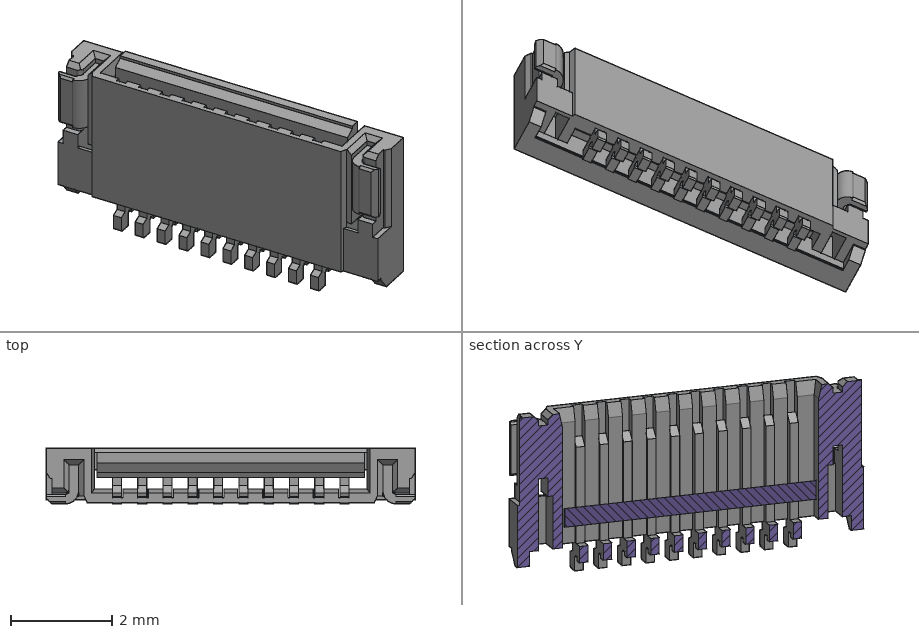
import cadquery as cq
import math


HALF_LENGTH = 3.65
HOUSING_BOTTOM = 0.29
HOUSING_TOP = 3.4
SLIDER_TOP = 3.51
MOUNT_Y = -1.1

BLOCK_FRONT_Y = -1.02
PANEL_FRONT_Y = -1.08
PANEL_BOTTOM = 0.6
PANEL_HALF_WIDTH = 2.84
PANEL_SIDE_DRAFT = 0.06
UNDERCUT_HALF_LENGTH = 3.39
BASE_FRONT_Y = -0.43
BASE_LIP_Y = -0.41
BASE_LIP_TOP = 0.335
CORNER_FRONT_Y = -0.89
CORNER_CHAMFER_Y = 0.21
CORNER_CHAMFER_Z = 0.26

CAVITY_HALF_WIDTH = 2.695
CAVITY_FRONT_Y = -0.8
BACK_WALL = 0.09
SEAT_Z = 1.02
MOUTH_SIDE_FLARE = 0.065
MOUTH_FRONT_FLARE = 0.09
MOUTH_DEPTH = 0.285
BACK_BEVEL_DROP = 0.14

SLOT_INNER_X = -3.01
CLIP_THICKNESS = 0.19
SLOT_OUTER_X = SLOT_INNER_X - CLIP_THICKNESS
SLOT_BACK_Y = -0.33
WINDOW_BOTTOM = 1.7
SLOT_CHAMFER = 0.1
FLARE_CUT_LENGTH = 1.46
WINDOW_TOP = 2.05
RECESS_BACK_Y = -0.95
POCKET_BOTTOM = 1.59
POST_STEP_Z = 1.9
POST_FRONT_Y = -0.89
POST_RADIUS = 0.09
POCKET_X = -3.53
POCKET_STEP_Y = -0.6
POCKET_LEAD_X = 0.08
POCKET_LEAD_Y = 0.12
CLIP_BOTTOM = 2.09
CLIP_TOP = 3.2
FOOT_BACK_Y = MOUNT_Y + CLIP_THICKNESS
BEND_RADIUS = 0.07
FOOT_BEVEL = 0.11
FOOT_FRONT_CHAMFER = 0.05
FOOT_BACK_CHAMFER = 0.045

CONTACT_COUNT = 10
CONTACT_ROW = 4.5
CONTACT_PITCH = CONTACT_ROW / (CONTACT_COUNT - 1)
CONTACT_WIDTH = 0.18
CONTACT_FRONT_Y = -0.955
ARM_BACK_Y = -0.74
ARM_PEAK_Y = -0.89
ARM_PEAK_Z = 2.775
ARM_BACK_DROP = 0.175
ARM_FRONT_DROP = 0.02
BAR_BOTTOM = BASE_LIP_TOP
BAR_TOP = PANEL_BOTTOM
STUB_FRONT_Y = -0.69
STUB_BOTTOM = 0.25
TAIL_BACK_Y = -0.825
TAIL_CORNER = 0.045
TAIL_SHOULDER_Z = 0.33
NECK_BOTTOM = 0.395
TAIL_TIP_CHAMFER = 0.03
SLOT_CLEARANCE = 0.02

SLIDER_HALF_WIDTH = 2.65
SLIDER_TOP_FRONT_Y = -0.29
SLIDER_FACE_Y = -0.48
SLIDER_TIP_Y = -0.585
SLIDER_SLOPE = 0.58
SLIDER_NOSE_STEP = 0.06
SLIDER_TIP_Z = 1.46


def box(x0, x1, y0, y1, z0, z1):
    return cq.Workplane("XY").box(x1 - x0, y1 - y0, z1 - z0, centered=False).translate((x0, y0, z0))


def side_prism(points, x0, x1):
    """Extrude a (Y, Z) outline from x0 to x1."""
    return cq.Workplane("YZ", origin=(x0, 0, 0)).polyline(points).close().extrude(x1 - x0)


def plan_prism(points, z0, z1):
    """Extrude an (X, Y) outline from z0 to z1."""
    return cq.Workplane("XY", origin=(0, 0, z0)).polyline(points).close().extrude(z1 - z0)


def both_ends(left):
    return left.union(left.mirror("YZ"))


def block():
    return box(-HALF_LENGTH, HALF_LENGTH, BLOCK_FRONT_Y, 0, HOUSING_BOTTOM, HOUSING_TOP)


def front_panel():
    """Raised front panel with drafted sides."""
    root = PANEL_HALF_WIDTH + PANEL_SIDE_DRAFT
    return plan_prism(
        [
            (-root, RECESS_BACK_Y),
            (-PANEL_HALF_WIDTH, PANEL_FRONT_Y),
            (PANEL_HALF_WIDTH, PANEL_FRONT_Y),
            (root, RECESS_BACK_Y),
        ],
        PANEL_BOTTOM,
        HOUSING_TOP,
    )


def underside_cut():
    """Stepped base front between two chamfered corner feet."""
    middle = side_prism(
        [
            (BASE_FRONT_Y, PANEL_BOTTOM),
            (BASE_FRONT_Y, BASE_LIP_TOP),
            (BASE_LIP_Y, BASE_LIP_TOP),
            (BASE_LIP_Y, HOUSING_BOTTOM),
            (BLOCK_FRONT_Y, HOUSING_BOTTOM),
            (BLOCK_FRONT_Y, PANEL_BOTTOM),
        ],
        -UNDERCUT_HALF_LENGTH,
        UNDERCUT_HALF_LENGTH,
    )
    corners = side_prism(
        [
            (CORNER_FRONT_Y, PANEL_BOTTOM),
            (CORNER_FRONT_Y, HOUSING_BOTTOM + CORNER_CHAMFER_Z),
            (CORNER_FRONT_Y + CORNER_CHAMFER_Y, HOUSING_BOTTOM),
            (BLOCK_FRONT_Y, HOUSING_BOTTOM),
            (BLOCK_FRONT_Y, PANEL_BOTTOM),
        ],
        -HALF_LENGTH,
        HALF_LENGTH,
    )
    return middle.union(corners)


def cavity_cut():
    """Cable opening with a seat for the slider and a flared mouth open to the back."""
    mouth_bottom = HOUSING_TOP - MOUTH_DEPTH
    well = side_prism(
        [
            (-BACK_WALL, HOUSING_TOP),
            (-BACK_WALL, SEAT_Z),
            (BASE_FRONT_Y, SEAT_Z),
            (BASE_FRONT_Y, HOUSING_BOTTOM),
            (CAVITY_FRONT_Y, HOUSING_BOTTOM),
            (CAVITY_FRONT_Y, HOUSING_TOP),
        ],
        -CAVITY_HALF_WIDTH,
        CAVITY_HALF_WIDTH,
    )
    back_bevel = side_prism(
        [(-BACK_WALL, mouth_bottom), (0, mouth_bottom - BACK_BEVEL_DROP), (0, mouth_bottom)],
        -CAVITY_HALF_WIDTH,
        CAVITY_HALF_WIDTH,
    )
    mouth_half = CAVITY_HALF_WIDTH + MOUTH_SIDE_FLARE
    mouth_front = CAVITY_FRONT_Y - MOUTH_FRONT_FLARE
    mouth = (
        cq.Workplane("XY", origin=(0, 0, mouth_bottom))
        .center(0, CAVITY_FRONT_Y / 2)
        .rect(2 * CAVITY_HALF_WIDTH, -CAVITY_FRONT_Y)
        .workplane(offset=MOUTH_DEPTH)
        .center(0, (mouth_front - CAVITY_FRONT_Y) / 2)
        .rect(2 * mouth_half, -mouth_front)
        .loft()
    )
    return well.union(mouth).union(back_bevel)


def clip_slot_cut():
    """Left clip slot with its rear window, flared top, front recess and wider shaft below."""
    slot = box(SLOT_OUTER_X, SLOT_INNER_X, BLOCK_FRONT_Y, SLOT_BACK_Y, WINDOW_BOTTOM, HOUSING_TOP)
    window = box(SLOT_OUTER_X, SLOT_INNER_X, SLOT_BACK_Y, 0, WINDOW_BOTTOM, WINDOW_TOP)
    recess = box(
        SLOT_OUTER_X, -PANEL_HALF_WIDTH, BLOCK_FRONT_Y, RECESS_BACK_Y, POCKET_BOTTOM, HOUSING_TOP
    )
    panel_root = -(PANEL_HALF_WIDTH + PANEL_SIDE_DRAFT)
    shaft = box(SLOT_OUTER_X, panel_root, RECESS_BACK_Y, SLOT_BACK_Y, PANEL_BOTTOM, WINDOW_BOTTOM)
    flare_back = SLOT_BACK_Y + SLOT_CHAMFER
    flare = (
        cq.Workplane("XY", origin=(0, 0, HOUSING_TOP))
        .center((SLOT_OUTER_X + SLOT_INNER_X) / 2, flare_back - FLARE_CUT_LENGTH / 2)
        .rect(CLIP_THICKNESS + 2 * SLOT_CHAMFER, FLARE_CUT_LENGTH)
        .extrude(-SLOT_CHAMFER, taper=45)
    )
    return slot.union(window).union(recess).union(shaft).union(flare)


def post_cut():
    """Set-back, rounded and chamfered front of the post that the left clip wraps around."""
    corner_y = POST_FRONT_Y + POST_RADIUS
    corner_x = SLOT_OUTER_X - POST_RADIUS
    diagonal = POST_RADIUS * math.sqrt(0.5)
    front = (
        cq.Workplane("XY", origin=(0, 0, POST_STEP_Z))
        .moveTo(-HALF_LENGTH, BLOCK_FRONT_Y)
        .lineTo(-HALF_LENGTH, POST_FRONT_Y)
        .lineTo(corner_x, POST_FRONT_Y)
        .threePointArc((corner_x + diagonal, corner_y - diagonal), (SLOT_OUTER_X, corner_y))
        .lineTo(SLOT_INNER_X, corner_y)
        .lineTo(SLOT_INNER_X, BLOCK_FRONT_Y)
        .close()
        .extrude(HOUSING_TOP - POST_STEP_Z)
    )
    chamfer = side_prism(
        [
            (POST_FRONT_Y, HOUSING_TOP - SLOT_CHAMFER),
            (POST_FRONT_Y + SLOT_CHAMFER, HOUSING_TOP),
            (POST_FRONT_Y, HOUSING_TOP),
        ],
        -HALF_LENGTH,
        SLOT_INNER_X,
    )
    return front.union(chamfer)


def end_pocket_cut():
    """Shallow pocket in the left end face."""
    return plan_prism(
        [
            (-HALF_LENGTH, POCKET_STEP_Y + POCKET_LEAD_Y),
            (-HALF_LENGTH + POCKET_LEAD_X, POCKET_STEP_Y),
            (POCKET_X, POCKET_STEP_Y),
            (POCKET_X, BLOCK_FRONT_Y),
            (-HALF_LENGTH, BLOCK_FRONT_Y),
        ],
        POCKET_BOTTOM,
        HOUSING_TOP,
    )


def clip():
    """Left hold-down clip: an arm in the slot, bent round the post into a flat foot."""
    bend_x = SLOT_OUTER_X - BEND_RADIUS
    bend_y = FOOT_BACK_Y + BEND_RADIUS
    outer_radius = BEND_RADIUS + CLIP_THICKNESS
    inner_diagonal = BEND_RADIUS * math.sqrt(0.5)
    outer_diagonal = outer_radius * math.sqrt(0.5)
    strip = (
        cq.Workplane("XY", origin=(0, 0, CLIP_BOTTOM))
        .moveTo(SLOT_OUTER_X, SLOT_BACK_Y)
        .lineTo(SLOT_OUTER_X, bend_y)
        .threePointArc((bend_x + inner_diagonal, bend_y - inner_diagonal), (bend_x, FOOT_BACK_Y))
        .lineTo(-HALF_LENGTH, FOOT_BACK_Y)
        .lineTo(-HALF_LENGTH, MOUNT_Y + FOOT_BEVEL)
        .lineTo(-HALF_LENGTH + FOOT_BEVEL, MOUNT_Y)
        .lineTo(bend_x, MOUNT_Y)
        .threePointArc((bend_x + outer_diagonal, bend_y - outer_diagonal), (SLOT_INNER_X, bend_y))
        .lineTo(SLOT_INNER_X, SLOT_BACK_Y)
        .close()
        .extrude(CLIP_TOP - CLIP_BOTTOM)
    )
    for edge_z, inward in ((CLIP_TOP, -1), (CLIP_BOTTOM, 1)):
        for edge_y, chamfer in ((MOUNT_Y, FOOT_FRONT_CHAMFER), (FOOT_BACK_Y, -FOOT_BACK_CHAMFER)):
            corner = side_prism(
                [
                    (edge_y, edge_z),
                    (edge_y + chamfer, edge_z),
                    (edge_y, edge_z + inward * abs(chamfer)),
                ],
                -HALF_LENGTH,
                bend_x,
            )
            strip = strip.cut(corner)
    return strip


def contact(x):
    """Contact arm, base bar and solder tail in one strip centred on x."""
    outline = [
        (BASE_LIP_Y, BAR_TOP),
        (BASE_LIP_Y, STUB_BOTTOM),
        (STUB_FRONT_Y, STUB_BOTTOM),
        (STUB_FRONT_Y, BAR_BOTTOM),
        (TAIL_BACK_Y + TAIL_CORNER, BAR_BOTTOM),
        (TAIL_BACK_Y, BAR_BOTTOM - TAIL_CORNER),
        (TAIL_BACK_Y, 0),
        (MOUNT_Y + TAIL_TIP_CHAMFER, 0),
        (MOUNT_Y, TAIL_TIP_CHAMFER),
        (MOUNT_Y, TAIL_SHOULDER_Z),
        (CONTACT_FRONT_Y, NECK_BOTTOM),
        (CONTACT_FRONT_Y, ARM_PEAK_Z - ARM_FRONT_DROP),
        (ARM_PEAK_Y, ARM_PEAK_Z),
        (ARM_BACK_Y, ARM_PEAK_Z - ARM_BACK_DROP),
        (ARM_BACK_Y, BAR_TOP),
    ]
    return side_prism(outline, x - CONTACT_WIDTH / 2, x + CONTACT_WIDTH / 2)


def contact_slot(x):
    """Groove inside the front wall, wider than the contact on the side nearer the middle."""
    left = x - CONTACT_WIDTH / 2
    right = x + CONTACT_WIDTH / 2
    if x < 0:
        right += SLOT_CLEARANCE
    else:
        left -= SLOT_CLEARANCE
    return box(left, right, CONTACT_FRONT_Y - SLOT_CLEARANCE, CAVITY_FRONT_Y, PANEL_BOTTOM, HOUSING_TOP)


def make_housing():
    body = block().cut(underside_cut()).cut(cavity_cut())
    for left_cut in (clip_slot_cut(), post_cut(), end_pocket_cut()):
        body = body.cut(both_ends(left_cut))
    body = body.union(front_panel()).union(both_ends(clip()))
    for i in range(CONTACT_COUNT):
        x = i * CONTACT_PITCH - CONTACT_ROW / 2
        body = body.cut(contact_slot(x)).union(contact(x))
    return body


def make_slider():
    """Plate between the back wall and the cable, thicker towards its seat."""
    nose_z = SLIDER_TOP - SLIDER_NOSE_STEP
    face_top = nose_z - SLIDER_SLOPE * (SLIDER_TOP_FRONT_Y - SLIDER_FACE_Y)
    tip_top = SLIDER_TIP_Z - SLIDER_SLOPE * (SLIDER_FACE_Y - SLIDER_TIP_Y)
    outline = [
        (-BACK_WALL, SEAT_Z),
        (-BACK_WALL, SLIDER_TOP),
        (SLIDER_TOP_FRONT_Y, SLIDER_TOP),
        (SLIDER_TOP_FRONT_Y, nose_z),
        (SLIDER_FACE_Y, face_top),
        (SLIDER_FACE_Y, SLIDER_TIP_Z),
        (SLIDER_TIP_Y, tip_top),
        (SLIDER_TIP_Y, SEAT_Z),
    ]
    return side_prism(outline, -SLIDER_HALF_WIDTH, SLIDER_HALF_WIDTH)


housing = make_housing()
slider = make_slider()

result = cq.Compound.makeCompound([housing.solids().val(), slider.val()])